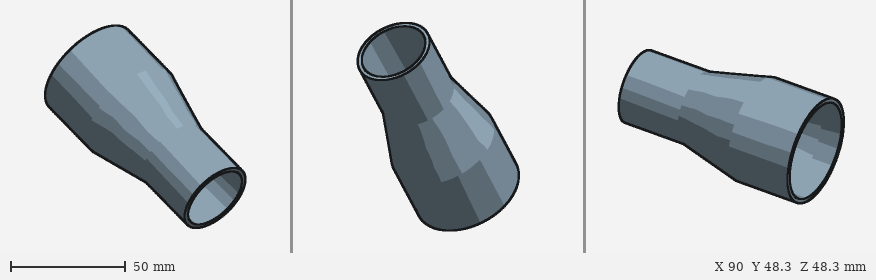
import cadquery as cq

large_outer_diameter = 48.3
small_outer_diameter = 33.7
wall_thickness = 2.0
total_length = 90.0

outer_taper_start = total_length / 3
outer_taper_end = total_length - outer_taper_start
bore_taper_start = 10.0
bore_taper_end = outer_taper_end


def reducer_body(large_diameter, small_diameter, taper_start, taper_end):
    """Solid of revolution about X: large cylinder, cone, small cylinder."""
    large_radius = large_diameter / 2
    small_radius = small_diameter / 2
    return (
        cq.Workplane("XZ")
        .moveTo(0, 0)
        .lineTo(0, large_radius)
        .lineTo(taper_start, large_radius)
        .lineTo(taper_end, small_radius)
        .lineTo(total_length, small_radius)
        .lineTo(total_length, 0)
        .close()
        .revolve(360, (0, 0, 0), (1, 0, 0))
    )


outside = reducer_body(
    large_outer_diameter,
    small_outer_diameter,
    outer_taper_start,
    outer_taper_end,
)
bore = reducer_body(
    large_outer_diameter - 2 * wall_thickness,
    small_outer_diameter - 2 * wall_thickness,
    bore_taper_start,
    bore_taper_end,
)

result = outside.cut(bore)